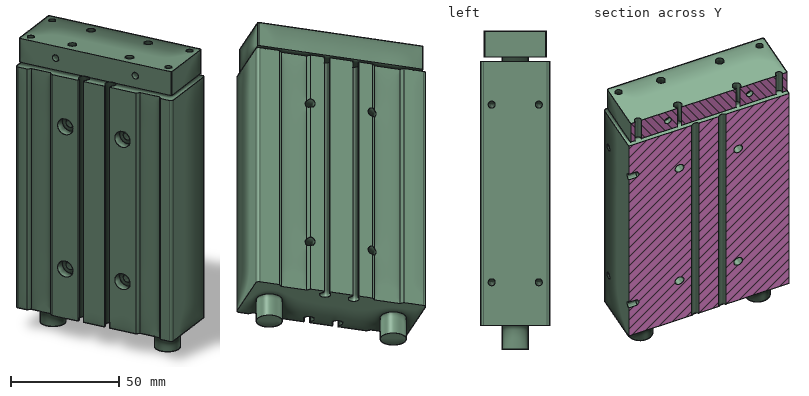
import cadquery as cq
import math

total_height = 147.0
plate_thickness = 12.0
plate_gap = 1.9
rod_overhang = 11.0
plate_bottom = total_height - plate_thickness
housing_top = plate_bottom - plate_gap
housing_height = housing_top - rod_overhang
housing_mid = rod_overhang + housing_height / 2

housing_width = 82.0
housing_depth = 32.0
corner_radius = 1.5
half_width = housing_width / 2
half_depth = housing_depth / 2
cut_margin = 1.5

recess_depth = 1.5
front_recess_inner = 23.5
front_recess_outer = 33.5
back_recess_inner = 16.5
back_recess_outer = 28.7

slot_x = 6.9
slot_neck = 2.8
slot_bore = 5.0
slot_bore_inset = 3.4

mount_x = 15.0
mount_z = 36.0
mount_hole = 4.3
mount_counterbore = 8.0
mount_counterbore_depth = 4.7

tap_hole = 3.2
drill_point_angle = 118.0
side_hole_y = 10.9
side_hole_z = 41.0
side_hole_depth = 4.4

plate_width = 80.0
plate_depth = 29.0
plate_edge_chamfer = 0.5
plate_front_hole_x = 20.9
plate_front_hole_depth = 5.9
plate_corner_hole_x = 36.0
plate_corner_hole_y = 10.5
plate_mount_hole = 4.0
plate_mount_y = 9.1
guide_rod = 12.0
guide_rod_x = 30.0
piston_rod = 10.0


def blind_hole(start, direction, diameter, depth):
    """Cutter for a drilled hole: a cylinder ending in a cone."""
    radius = diameter / 2
    tip = radius / math.tan(math.radians(drill_point_angle / 2))
    axis = cq.Vector(*direction)
    origin = cq.Vector(*start)
    barrel = cq.Solid.makeCylinder(radius, depth, origin, axis)
    point = cq.Solid.makeCone(radius, 0, tip, origin + axis * depth, axis)
    return cq.Workplane(barrel.fuse(point))


def guide_rods():
    """Both guide rods, from their lower ends to the plate."""
    return (
        cq.Workplane("XY")
        .pushPoints([(-guide_rod_x, 0), (guide_rod_x, 0)])
        .circle(guide_rod / 2)
        .extrude(plate_bottom)
    )


def recess(side, face, inner, outer):
    """Full-height groove with 45 degree flanks; side is the sign of X, face the sign of Y."""
    floor = face * (half_depth - recess_depth)
    mouth = face * (half_depth + cut_margin)
    flare = recess_depth + cut_margin
    return (
        cq.Workplane("XY", origin=(0, 0, rod_overhang))
        .moveTo(side * inner, floor)
        .lineTo(side * (inner - flare), mouth)
        .lineTo(side * (outer + flare), mouth)
        .lineTo(side * outer, floor)
        .close()
        .extrude(housing_height)
    )


def sensor_slot(side, face):
    """Full-height keyhole slot: a narrow neck opening into a round bore."""
    bore_y = face * (half_depth - slot_bore_inset)
    neck_length = slot_bore_inset + cut_margin
    base = cq.Workplane("XY", origin=(side * slot_x, bore_y, rod_overhang))
    bore = base.circle(slot_bore / 2).extrude(housing_height)
    neck = base.center(0, face * neck_length / 2).rect(slot_neck, neck_length).extrude(housing_height)
    return bore.union(neck)


def mounting_hole(x, z):
    """Through hole along Y, counterbored from the front face."""
    base = cq.Workplane("XZ", origin=(x, -half_depth, z))
    through = base.circle(mount_hole / 2).extrude(-housing_depth)
    counterbore = base.circle(mount_counterbore / 2).extrude(-mount_counterbore_depth)
    return through.union(counterbore)


def make_housing():
    body = (
        cq.Workplane("XY", origin=(0, 0, rod_overhang))
        .rect(housing_width, housing_depth)
        .extrude(housing_height)
        .edges("|Z")
        .fillet(corner_radius)
    )
    for side in (-1, 1):
        body = body.cut(recess(side, -1, front_recess_inner, front_recess_outer))
        body = body.cut(recess(side, 1, back_recess_inner, back_recess_outer))
        for face in (-1, 1):
            body = body.cut(sensor_slot(side, face))
        for z in (housing_mid - mount_z, housing_mid + mount_z):
            body = body.cut(mounting_hole(side * mount_x, z))
    for y in (-side_hole_y, side_hole_y):
        for z in (housing_mid - side_hole_z, housing_mid + side_hole_z):
            body = body.cut(blind_hole((-half_width, y, z), (1, 0, 0), tap_hole, side_hole_depth))
    return body.cut(guide_rods())


def drill_rectangle(plate, x, y, diameter):
    """Four through holes along Z at (+-x, +-y)."""
    return (
        plate.faces(">Z")
        .workplane(origin=(0, 0, total_height))
        .rect(2 * x, 2 * y, forConstruction=True)
        .vertices()
        .hole(diameter)
    )


def make_carriage():
    """End plate with its two guide rods and the piston rod, which meets the housing top."""
    plate = (
        cq.Workplane("XY", origin=(0, 0, plate_bottom))
        .rect(plate_width, plate_depth)
        .extrude(plate_thickness)
        .edges("|Z")
        .chamfer(plate_edge_chamfer)
    )
    plate = drill_rectangle(plate, plate_corner_hole_x, plate_corner_hole_y, tap_hole)
    plate = drill_rectangle(plate, mount_x, plate_mount_y, plate_mount_hole)
    plate_mid = plate_bottom + plate_thickness / 2
    for x in (-plate_front_hole_x, plate_front_hole_x):
        start = (x, -plate_depth / 2, plate_mid)
        plate = plate.cut(blind_hole(start, (0, 1, 0), tap_hole, plate_front_hole_depth))
    piston = (
        cq.Workplane("XY", origin=(0, 0, housing_top))
        .circle(piston_rod / 2)
        .extrude(plate_gap)
    )
    return plate.union(guide_rods()).union(piston)


housing = make_housing()
carriage = make_carriage()

result = cq.Compound.makeCompound([housing.val(), carriage.val()])